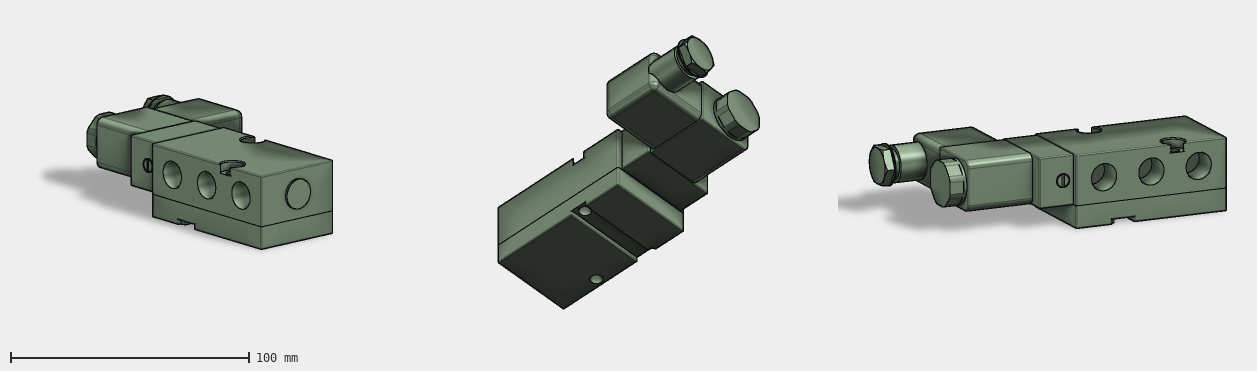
import cadquery as cq
import math


EDGE = 0.5
CORNER_RADIUS = 3.0
AXIS_Z = 21.0

BLOCK_X = 65.0
BLOCK_LENGTH = 70.0
BLOCK_WIDTH = 40.0
BLOCK_TOP = 32.0
BASE_HEIGHT = 10.0
PORT_DIAMETER = 11.75
PORT_DEPTH = 12.0
PORT_PITCH = 22.0
PORT_COUNT = 3
BOLT_DIAMETER = 5.5
BOLT_HEAD_DIAMETER = 10.0
BOLT_HEAD_DEPTH = 4.0
BOLT_OFFSET_X = 12.0
BOLT_INSET_Y = 4.0
END_DISC_DIAMETER = 13.0
END_DISC_THICKNESS = 1.0

SLOT_X = 83.9
SLOT_END_X = 92.0
SLOT_HEIGHT = 2.2
MOUTH_X = 81.8
MOUTH_DEPTH = 1.5
SHOULDER_DEPTH = 0.9

PILOT_X = 49.0
PILOT_WIDTH = 36.0
SCREW_X = 60.0
SCREW_DIAMETER = 6.0
SCREW_RING_WIDTH = 0.25
SCREW_RING_DEPTH = 0.5
SCREW_SLOT_WIDTH = 1.0
SCREW_SLOT_DEPTH = 0.5

COIL_X = 19.0
COIL_Y = 9.0
COIL_WIDTH = 28.0
CAP_X = 11.3
CAP_DIAMETER = 20.0
CAP_FLAT_COUNT = 8
CAP_FLAT_WIDTH = 5.2
CAP_FLAT_LENGTH = 6.3

PLUG_X = 19.4
PLUG_LENGTH = 29.3
PLUG_HEIGHT = 21.0
PLUG_END_Y = 65.7
GLAND_Y = 58.0
SLEEVE_X = 7.4
SLEEVE_DIAMETER = 16.0
NECK_DIAMETER = 13.0
NUT_LENGTH = 4.0
NUT_CORNER_DIAMETER = 18.0
FLANGE_THICKNESS = 0.5

BLOCK_END_X = BLOCK_X + BLOCK_LENGTH
BLOCK_MID_X = BLOCK_X + BLOCK_LENGTH / 2
BLOCK_MID_Y = BLOCK_WIDTH / 2
PILOT_Y = (BLOCK_WIDTH - PILOT_WIDTH) / 2
COIL_END_Y = COIL_Y + COIL_WIDTH


def box(x_start, x_end, y_start, y_end, z_start, z_end):
    """Block given by its limits along each axis."""
    size = (x_end - x_start, y_end - y_start, z_end - z_start)
    return cq.Workplane("XY").box(*size, centered=False).translate((x_start, y_start, z_start))


def rod_x(diameter, x_start, x_end, y):
    """Cylinder along X at the axis height."""
    plane = cq.Workplane("YZ", origin=(x_start, y, AXIS_Z))
    return plane.circle(diameter / 2).extrude(x_end - x_start)


def rod_y(diameter, x, y_start, y_end):
    """Cylinder along +Y at the axis height."""
    plane = cq.Workplane("XZ", origin=(x, y_start, AXIS_Z))
    return plane.circle(diameter / 2).extrude(y_start - y_end)


def bolt_places():
    """Centres of the two bolts, on opposite long sides of the block."""
    return [
        (BLOCK_MID_X - BOLT_OFFSET_X, BLOCK_WIDTH - BOLT_INSET_Y),
        (BLOCK_MID_X + BOLT_OFFSET_X, BOLT_INSET_Y),
    ]


def bolt_cutter(x, y):
    """Through hole with a head recess whose rim is chamfered."""
    head_radius = BOLT_HEAD_DIAMETER / 2
    head_floor = BLOCK_TOP - BOLT_HEAD_DEPTH
    shank = cq.Workplane("XY").circle(BOLT_DIAMETER / 2).extrude(BLOCK_TOP)
    head = cq.Workplane("XY", origin=(0, 0, head_floor)).circle(head_radius).extrude(BOLT_HEAD_DEPTH)
    rim = cq.Solid.makeCone(head_radius, head_radius + EDGE, EDGE, cq.Vector(0, 0, BLOCK_TOP - EDGE))
    return shank.union(head).union(rim).translate((x, y, 0))


def make_valve_block():
    block = box(BLOCK_X, BLOCK_END_X, 0, BLOCK_WIDTH, BASE_HEIGHT, BLOCK_TOP)
    block = block.edges("|Z or >Z").fillet(EDGE)
    for index in range(PORT_COUNT):
        port_x = BLOCK_MID_X + (index - (PORT_COUNT - 1) / 2) * PORT_PITCH
        block = block.cut(rod_y(PORT_DIAMETER, port_x, 0, PORT_DEPTH))
    for x, y in bolt_places():
        block = block.cut(bolt_cutter(x, y))
    disc = rod_x(END_DISC_DIAMETER, BLOCK_END_X, BLOCK_END_X + END_DISC_THICKNESS, BLOCK_MID_Y)
    return block.union(disc)


def rail_slot():
    """Slot across the plate with a wider mouth at the front face."""
    shoulder_end_y = MOUTH_DEPTH + SHOULDER_DEPTH
    plan = [
        (MOUTH_X, 0),
        (SLOT_END_X, 0),
        (SLOT_END_X, BLOCK_WIDTH),
        (SLOT_X, BLOCK_WIDTH),
        (SLOT_X, shoulder_end_y),
        (MOUTH_X, MOUTH_DEPTH),
    ]
    slot = cq.Workplane("XY").polyline(plan).close().extrude(SLOT_HEIGHT)
    shoulder_edge = cq.selectors.NearestToPointSelector((SLOT_X, shoulder_end_y, SLOT_HEIGHT / 2))
    return slot.edges("|Z").edges(shoulder_edge).fillet(EDGE)


def make_base_plate():
    plate = box(BLOCK_X, BLOCK_END_X, 0, BLOCK_WIDTH, 0, BASE_HEIGHT)
    plate = plate.edges("|Z or <Z").fillet(EDGE)
    plate = plate.cut(rail_slot())
    mouth = cq.selectors.BoxSelector(
        (MOUTH_X - EDGE, -EDGE, EDGE),
        (SLOT_END_X + EDGE, EDGE, SLOT_HEIGHT + EDGE),
    )
    plate = plate.faces("<Y").edges(mouth).fillet(EDGE)
    for x, y in bolt_places():
        plate = plate.cut(bolt_cutter(x, y))
    return plate


def make_pilot_block():
    pilot = box(PILOT_X, BLOCK_X, PILOT_Y, PILOT_Y + PILOT_WIDTH, BASE_HEIGHT, BLOCK_TOP)
    pilot = pilot.edges().fillet(EDGE)
    inner_diameter = SCREW_DIAMETER - 2 * SCREW_RING_WIDTH
    ring = rod_y(SCREW_DIAMETER, SCREW_X, PILOT_Y, PILOT_Y + SCREW_RING_DEPTH)
    head = rod_y(inner_diameter, SCREW_X, PILOT_Y, PILOT_Y + SCREW_RING_DEPTH)
    slot_bar = box(
        SCREW_X - SCREW_SLOT_WIDTH / 2,
        SCREW_X + SCREW_SLOT_WIDTH / 2,
        PILOT_Y,
        PILOT_Y + SCREW_SLOT_DEPTH,
        AXIS_Z - SCREW_DIAMETER / 2,
        AXIS_Z + SCREW_DIAMETER / 2,
    )
    disc = rod_y(SCREW_DIAMETER, SCREW_X, PILOT_Y, PILOT_Y + SCREW_SLOT_DEPTH)
    return pilot.cut(ring.cut(head)).cut(slot_bar.intersect(disc))


def make_cap():
    """Round cap with evenly spaced grip flats that stop short of the coil."""
    cap = rod_x(CAP_DIAMETER, CAP_X, COIL_X, BLOCK_MID_Y)
    cap_radius = CAP_DIAMETER / 2
    flat_distance = math.sqrt(cap_radius**2 - (CAP_FLAT_WIDTH / 2) ** 2)
    for index in range(CAP_FLAT_COUNT):
        cutter = box(
            CAP_X,
            CAP_X + CAP_FLAT_LENGTH,
            BLOCK_MID_Y + flat_distance,
            BLOCK_MID_Y + CAP_DIAMETER,
            AXIS_Z - CAP_FLAT_WIDTH,
            AXIS_Z + CAP_FLAT_WIDTH,
        )
        axis_start = (0, BLOCK_MID_Y, AXIS_Z)
        axis_end = (1, BLOCK_MID_Y, AXIS_Z)
        cap = cap.cut(cutter.rotate(axis_start, axis_end, index * 360 / CAP_FLAT_COUNT))
    return cap


def make_coil():
    coil = box(COIL_X, PILOT_X, COIL_Y, COIL_END_Y, BASE_HEIGHT, BLOCK_TOP)
    coil = coil.edges("|X and <Y").fillet(CORNER_RADIUS)
    coil = coil.edges("|X and >Y").fillet(EDGE)
    coil = coil.faces("<X").edges("not (|Z and >Y)").fillet(EDGE)
    return coil.union(make_cap())


def make_gland_nut():
    """Hexagon nut with its outer corners turned down, and a thin flange behind it."""
    flat_distance = NUT_CORNER_DIAMETER / 2 * math.cos(math.pi / 6)
    corner_drop = NUT_CORNER_DIAMETER / 2 - flat_distance
    plane = cq.Workplane("YZ", origin=(0, GLAND_Y, AXIS_Z))
    hexagon = plane.polygon(6, NUT_CORNER_DIAMETER).extrude(NUT_LENGTH)
    turned = plane.circle(NUT_CORNER_DIAMETER / 2).extrude(NUT_LENGTH)
    turned = turned.faces("<X").chamfer(corner_drop / 2, corner_drop)
    flange = rod_x(NUT_CORNER_DIAMETER, NUT_LENGTH, NUT_LENGTH + FLANGE_THICKNESS, GLAND_Y)
    return hexagon.intersect(turned).union(flange)


def make_connector():
    bottom = AXIS_Z - PLUG_HEIGHT / 2
    plug = box(PLUG_X, PLUG_X + PLUG_LENGTH, COIL_END_Y, PLUG_END_Y, bottom, bottom + PLUG_HEIGHT)
    plug = plug.edges("|Y or >Y").fillet(CORNER_RADIUS)
    sleeve = rod_x(SLEEVE_DIAMETER, SLEEVE_X, PLUG_X + CORNER_RADIUS, GLAND_Y)
    neck = rod_x(NECK_DIAMETER, NUT_LENGTH, SLEEVE_X, GLAND_Y)
    return plug.union(sleeve).union(neck).union(make_gland_nut())


valve_block = make_valve_block()
base_plate = make_base_plate()
pilot_block = make_pilot_block()
coil = make_coil()
connector = make_connector()

result = cq.Compound.makeCompound(
    [
        valve_block.val(),
        base_plate.val(),
        pilot_block.val(),
        coil.val(),
        connector.val(),
    ]
)